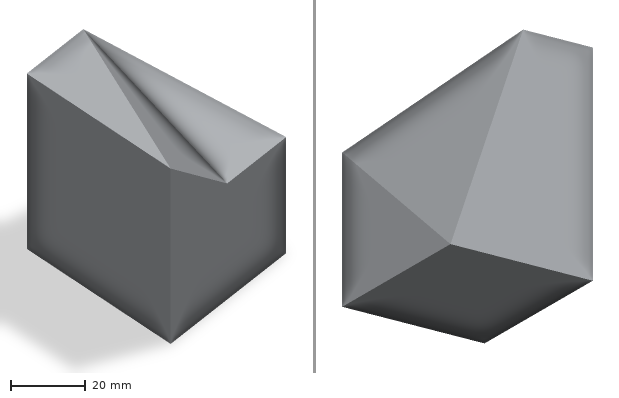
import cadquery as cq

length = 52.5
depth = 46.0
height = 68.0

apex_y = 22.5
low_height = 45.0

base_front_left = (0, 0, 0)
base_front_right = (length, 0, 0)
base_back_right = (length, depth, 0)
base_back_left = (0, depth, 0)

top_front_left = (0, 0, height)
top_front_right = (length, 0, height)
apex = (0, apex_y, height)
valley_right = (length, apex_y, low_height)
back_right = (length, depth, low_height)


def flat_face(*corners):
    """Planar face bounded by straight edges through the given corners."""
    points = [cq.Vector(*corner) for corner in corners]
    return cq.Face.makeFromWires(cq.Wire.makePolygon(points, close=True))


outer_walls = [
    flat_face(base_front_left, base_back_left, base_back_right, base_front_right),
    flat_face(base_front_left, base_front_right, top_front_right, top_front_left),
    flat_face(base_front_left, top_front_left, apex, base_back_left),
    flat_face(
        base_front_right, base_back_right, back_right, valley_right, top_front_right
    ),
    flat_face(base_back_left, back_right, base_back_right),
]

apex_facets = [
    flat_face(top_front_left, top_front_right, apex),
    flat_face(top_front_right, valley_right, apex),
    flat_face(valley_right, back_right, apex),
    flat_face(back_right, base_back_left, apex),
]

solid = cq.Solid.makeSolid(cq.Shell.makeShell(outer_walls + apex_facets))
result = cq.Workplane("XY").newObject([solid])